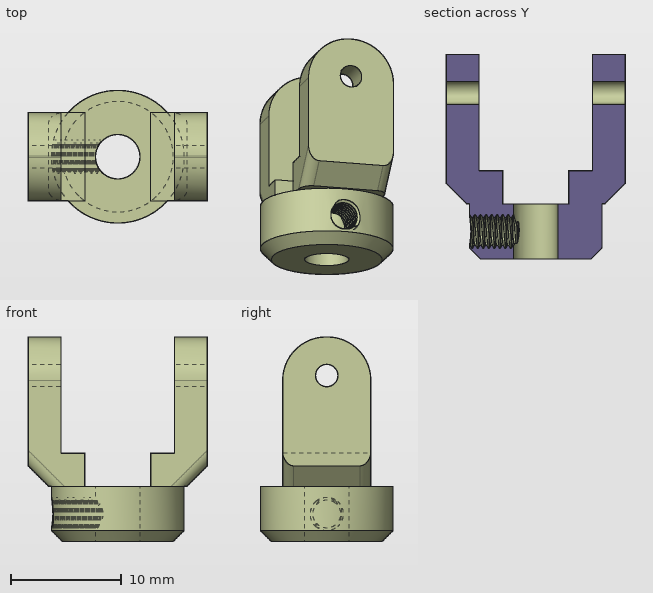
import cadquery as cq

base_diameter = 12.0
base_height = 5.0
base_chamfer = 1.0
bore_diameter = 4.0

total_height = 18.5
fork_span = 16.2
arm_width = 8.0
arm_thickness = 3.0
arm_tip_radius = 3.94
foot_gap = 5.95
foot_height = 3.0
outer_chamfer = 1.85
chamfer_edge_radius = 1.0
pin_hole_diameter = 2.0
pin_hole_drop = 3.5

thread_minor_diameter = 2.52
thread_major_diameter = 3.0
thread_pitch = 0.5
groove_mouth = 0.4
groove_tip = 0.07
groove_overlap = 0.05
thread_overrun = thread_pitch
thread_start_angle = 170.0
screw_height = base_height / 2


def make_base():
    base = cq.Workplane("XY").circle(base_diameter / 2).extrude(base_height)
    return base.faces("<Z").chamfer(base_chamfer)


def make_arm():
    """L-shaped arm on the +X side, with a rounded tip and a bevelled outer corner."""
    outer_x = fork_span / 2
    inner_x = outer_x - arm_thickness
    foot_x = foot_gap / 2
    foot_top = base_height + foot_height
    arm = (
        cq.Workplane("XZ")
        .moveTo(foot_x, base_height)
        .lineTo(outer_x - outer_chamfer, base_height)
        .lineTo(outer_x, base_height + outer_chamfer)
        .lineTo(outer_x, total_height)
        .lineTo(inner_x, total_height)
        .lineTo(inner_x, foot_top)
        .lineTo(foot_x, foot_top)
        .close()
        .extrude(arm_width / 2, both=True)
    )
    arm = arm.faces(">Z").edges("|X").fillet(arm_tip_radius)
    bevel_center = (outer_x - outer_chamfer / 2, 0, base_height + outer_chamfer / 2)
    bevel = arm.faces(cq.NearestToPointSelector(bevel_center))
    arm = bevel.edges("not |Y").fillet(chamfer_edge_radius)
    pin_hole = (
        cq.Workplane("YZ")
        .center(0, total_height - pin_hole_drop)
        .circle(pin_hole_diameter / 2)
        .extrude(fork_span)
    )
    return arm.cut(pin_hole)


def make_screw_hole():
    """Plain cylinder at the minor diameter, from outside the base to the bore axis."""
    return (
        cq.Workplane("YZ")
        .center(0, screw_height)
        .circle(thread_minor_diameter / 2)
        .extrude(-base_diameter)
    )


def make_thread_groove():
    """Right-hand helical groove from outside the base into the bore."""
    length = base_diameter / 2 - bore_diameter / 4 + thread_overrun
    inner_radius = thread_minor_diameter / 2 - groove_overlap
    outer_radius = thread_major_diameter / 2
    helix = cq.Wire.makeHelix(thread_pitch, length, inner_radius)
    groove = (
        cq.Workplane("XZ")
        .moveTo(inner_radius, -groove_mouth / 2)
        .lineTo(outer_radius, -groove_tip / 2)
        .lineTo(outer_radius, groove_tip / 2)
        .lineTo(inner_radius, groove_mouth / 2)
        .close()
        .sweep(cq.Workplane(helix), isFrenet=True)
    )
    start_x = -base_diameter / 2 - thread_overrun
    groove = groove.rotate((0, 0, 0), (0, 0, 1), thread_start_angle)
    return groove.rotate((0, 0, 0), (0, 1, 0), 90).translate((start_x, 0, screw_height))


arm = make_arm()
bore = cq.Workplane("XY").circle(bore_diameter / 2).extrude(base_height)
result = make_base().union(arm).union(arm.mirror("YZ"))
result = result.cut(make_screw_hole()).cut(make_thread_groove()).cut(bore)